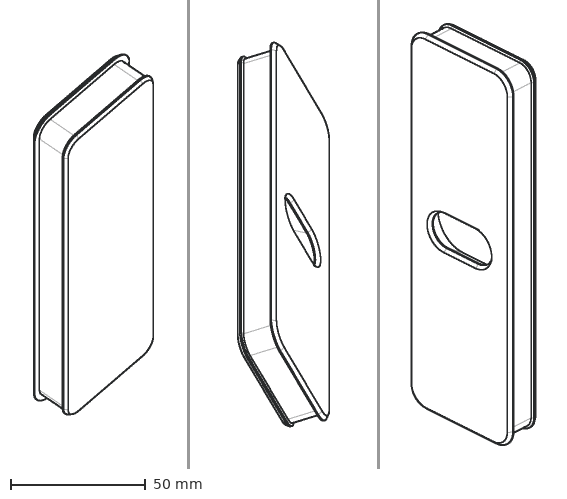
import cadquery as cq
import math

thickness = 16.2
width = 52.9
height = 161.6
corner_radius = 8.5

front_flange_thickness = 2.0
front_chamfer = 1.5

body_inset = 2.6

rear_flange_inset = 1.6
rear_flange_thickness = 2.5
rear_bevel_depth = 0.5
rear_bevel_rise = body_inset - rear_flange_inset
rear_chamfer_depth = 1.3
rear_chamfer_drop = 1.0

recess_length = 33.6
recess_width = 17.1
recess_rim_depth = 1.6
recess_rim_inset = 1.1
recess_throat_depth = 0.5
recess_undercut_depth = 8.1
recess_undercut_spread = 5.5

front_x = -thickness / 2
rear_x = thickness / 2
rear_flange_x = rear_x - rear_flange_thickness


def rounded_slab(start_x, end_x, inset):
    """Rounded plate from start_x to end_x, set in from the overall outline with concentric corners."""
    return (
        cq.Workplane("YZ", origin=(start_x, 0, 0))
        .rect(width - 2 * inset, height - 2 * inset)
        .extrude(end_x - start_x)
        .edges("|X")
        .fillet(corner_radius - inset)
    )


def front_flange():
    """Lip around the front face, with a chamfer at that face."""
    slab = rounded_slab(front_x, front_x + front_flange_thickness, 0)
    return slab.faces("<X").chamfer(front_chamfer)


def rear_flange():
    """Lip with a steep bevel rising from the body on its inner side and a chamfer at the rear face."""
    slab = rounded_slab(rear_flange_x, rear_x, rear_flange_inset)
    chamfered = slab.faces(">X").chamfer(rear_chamfer_depth, rear_chamfer_drop)
    return chamfered.faces("<X").chamfer(rear_bevel_depth, rear_bevel_rise)


def slot_frustum(start_x, depth, start_inset, spread):
    """Round-ended slot whose outline grows evenly by spread over its depth (negative spread narrows it)."""
    return (
        cq.Workplane("YZ", origin=(start_x, 0, 0))
        .slot2D(recess_length - 2 * start_inset, recess_width - 2 * start_inset)
        .extrude(depth, taper=-math.degrees(math.atan2(spread, depth)))
    )


def finger_recess():
    """Narrowing rim, straight throat and undercut pocket, as one cutting solid."""
    throat_x = front_x + recess_rim_depth
    undercut_x = throat_x + recess_throat_depth
    rim = slot_frustum(front_x, recess_rim_depth, 0, -recess_rim_inset)
    throat = slot_frustum(throat_x, recess_throat_depth, recess_rim_inset, 0)
    undercut = slot_frustum(undercut_x, recess_undercut_depth, recess_rim_inset, recess_undercut_spread)
    return rim.union(throat).union(undercut)


body = rounded_slab(front_x, rear_flange_x, body_inset)
result = body.union(front_flange()).union(rear_flange()).cut(finger_recess())